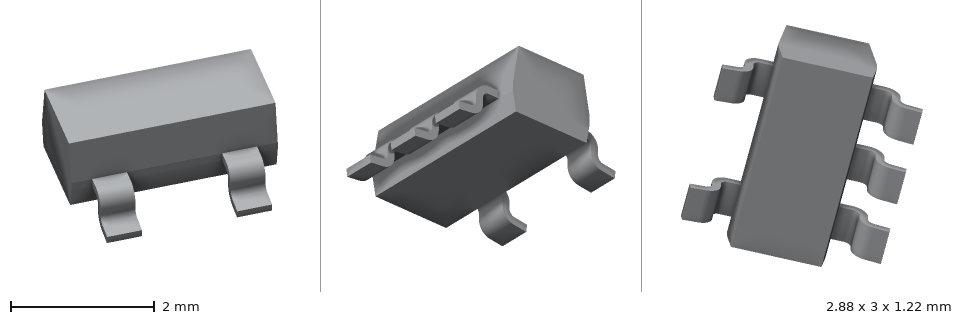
import cadquery as cq
import math

housing_length = 3.0
housing_band_width = 1.41
housing_top_width = 1.188
housing_bottom_width = 1.295
housing_bottom_z = 0.13
housing_top_z = 1.22

lead_span = 2.88
lead_width = 0.507
lead_pitch = 0.945
lead_thickness = 0.125
lead_top_z = 0.582
lead_bottom_z = lead_top_z - lead_thickness
shank_outer_x = 1.12
inner_bend_radius = 0.105
outer_bend_radius = inner_bend_radius + lead_thickness
foot_tilt = math.radians(7)

left_lead_rows = [-lead_pitch, 0, lead_pitch]
right_lead_rows = [-lead_pitch, lead_pitch]


def make_housing():
    right_side = [
        (housing_bottom_width / 2, housing_bottom_z),
        (housing_band_width / 2, lead_bottom_z),
        (housing_band_width / 2, lead_top_z),
        (housing_top_width / 2, housing_top_z),
    ]
    left_side = [(-x, z) for x, z in reversed(right_side)]
    profile = cq.Workplane("XZ").polyline(right_side + left_side).close()
    return profile.extrude(housing_length / 2, both=True)


def point_on_arc(center, radius, angle):
    return (center[0] + radius * math.cos(angle), center[1] + radius * math.sin(angle))


def make_lead(y_center):
    """A lead on the +X side, centred at y_center; its foot slopes down outward to z = 0."""
    root_x = housing_band_width / 2
    tip_x = lead_span / 2

    shoulder_center = (shank_outer_x - outer_bend_radius, lead_top_z - outer_bend_radius)
    heel_x = shank_outer_x + inner_bend_radius

    foot_angle = 1.5 * math.pi - foot_tilt
    foot_start_x = heel_x + inner_bend_radius * math.cos(foot_angle)
    tip_top_z = lead_thickness * math.cos(foot_tilt)
    foot_start_z = tip_top_z + (tip_x - foot_start_x) * math.tan(foot_tilt)
    heel_center = (heel_x, foot_start_z - inner_bend_radius * math.sin(foot_angle))
    tip_bottom = (tip_x - lead_thickness * math.sin(foot_tilt), 0)

    shoulder_middle = math.pi / 4
    heel_middle = (math.pi + foot_angle) / 2

    profile = (
        cq.Workplane("XZ", origin=(0, y_center, 0))
        .moveTo(root_x, lead_top_z)
        .lineTo(shoulder_center[0], lead_top_z)
        .threePointArc(
            point_on_arc(shoulder_center, outer_bend_radius, shoulder_middle),
            point_on_arc(shoulder_center, outer_bend_radius, 0),
        )
        .lineTo(*point_on_arc(heel_center, inner_bend_radius, math.pi))
        .threePointArc(
            point_on_arc(heel_center, inner_bend_radius, heel_middle),
            point_on_arc(heel_center, inner_bend_radius, foot_angle),
        )
        .lineTo(tip_x, tip_top_z)
        .lineTo(*tip_bottom)
        .lineTo(*point_on_arc(heel_center, outer_bend_radius, foot_angle))
        .threePointArc(
            point_on_arc(heel_center, outer_bend_radius, heel_middle),
            point_on_arc(heel_center, outer_bend_radius, math.pi),
        )
        .lineTo(*point_on_arc(shoulder_center, inner_bend_radius, 0))
        .threePointArc(
            point_on_arc(shoulder_center, inner_bend_radius, shoulder_middle),
            point_on_arc(shoulder_center, inner_bend_radius, math.pi / 2),
        )
        .lineTo(root_x, lead_bottom_z)
        .close()
    )
    return profile.extrude(lead_width / 2, both=True)


housing = make_housing()
right_leads = [make_lead(y).val() for y in right_lead_rows]
left_leads = [make_lead(y).mirror("YZ").val() for y in left_lead_rows]

result = cq.Compound.makeCompound([housing.val(), *right_leads, *left_leads])